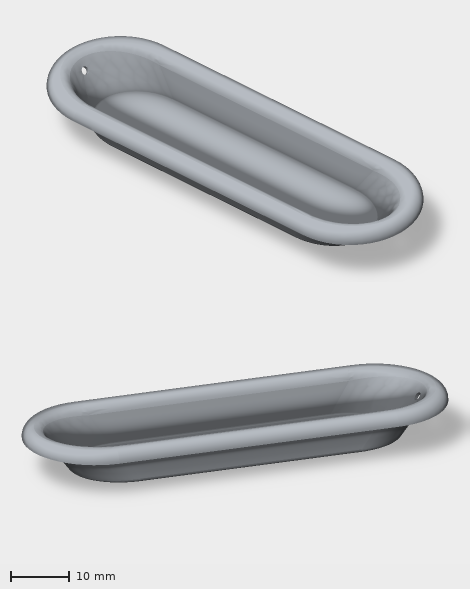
import cadquery as cq
import math

LENGTH = 76.0
WIDTH = 25.3
HEIGHT = 8.0

RIM_THICKNESS = 2.2
RIM_OUTER_RADIUS = 1.95
RIM_INNER_RADIUS = 1.95

TOP_HALF_LENGTH = 35.8
TOP_HALF_WIDTH = 9.3
TOP_STRAIGHT_HALF = 24.8
BOTTOM_HALF_LENGTH = 29.75
BOTTOM_HALF_WIDTH = 8.5
BOTTOM_STRAIGHT_HALF = 19.6

WALL = 0.6
FLOOR_OUTER_RADIUS = 0.8
FLOOR_INNER_RADIUS = 0.3

HOLE_DIAMETER = 1.5
HOLE_DEPTH = 2.9
HOLE_REACH = 2 * WALL

SELECT_MARGIN = 0.01

END_SLOPE = (TOP_HALF_LENGTH - BOTTOM_HALF_LENGTH) / HEIGHT
SIDE_SLOPE = (TOP_HALF_WIDTH - BOTTOM_HALF_WIDTH) / HEIGHT
STRAIGHT_SLOPE = (TOP_STRAIGHT_HALF - BOTTOM_STRAIGHT_HALF) / HEIGHT

END_WALL_RUN = WALL * math.hypot(1, END_SLOPE)
SIDE_WALL_RUN = WALL * math.hypot(1, SIDE_SLOPE)


def tray_outline(depth, end_inset, side_inset):
    """Wire with straight sides and half-ellipse ends, at a depth below the rim top."""
    straight = TOP_STRAIGHT_HALF - STRAIGHT_SLOPE * depth
    half_width = TOP_HALF_WIDTH - SIDE_SLOPE * depth - side_inset
    end_reach = TOP_HALF_LENGTH - END_SLOPE * depth - end_inset - straight
    outline = (
        cq.Workplane("XY", origin=(0, 0, -depth))
        .moveTo(-straight, -half_width)
        .lineTo(straight, -half_width)
        .ellipseArc(end_reach, half_width, -90, 90, startAtCurrent=True)
        .lineTo(-straight, half_width)
        .ellipseArc(end_reach, half_width, 90, 270, startAtCurrent=True)
        .wire()
    )
    return outline.val()


def tray_solid(depth, end_inset=0, side_inset=0):
    """Tapered solid from the rim top down to the given depth."""
    top_outline = tray_outline(0, end_inset, side_inset)
    bottom_outline = tray_outline(depth, end_inset, side_inset)
    return cq.Workplane(cq.Solid.makeLoft([top_outline, bottom_outline], True))


def rim():
    """Flat obround flange with a rounded upper edge."""
    plate = cq.Workplane("XY").slot2D(LENGTH, WIDTH).extrude(-RIM_THICKNESS)
    return plate.faces(">Z").edges().fillet(RIM_OUTER_RADIUS)


def recessed_tray():
    """Rim and thin-walled tray, with the recess mouth rounded into the rim top."""
    outside = tray_solid(HEIGHT).faces("<Z").edges().fillet(FLOOR_OUTER_RADIUS)
    inside = tray_solid(HEIGHT - WALL, END_WALL_RUN, SIDE_WALL_RUN)
    inside = inside.faces("<Z").edges().fillet(FLOOR_INNER_RADIUS)
    shell = rim().union(outside).cut(inside)
    mouth = cq.selectors.BoxSelector(
        (-TOP_HALF_LENGTH, -TOP_HALF_WIDTH, -SELECT_MARGIN),
        (TOP_HALF_LENGTH, TOP_HALF_WIDTH, SELECT_MARGIN),
        boundingbox=True,
    )
    return shell.edges(mouth).fillet(RIM_INNER_RADIUS)


def screw_hole(side):
    """Cutter square to the end wall at the +X (side = 1) or -X (side = -1) end."""
    wall_x = side * (TOP_HALF_LENGTH - END_SLOPE * HOLE_DEPTH)
    outward = cq.Vector(side, 0, -END_SLOPE).normalized()
    start = cq.Vector(wall_x, 0, -HOLE_DEPTH) - outward * HOLE_REACH
    return cq.Workplane(cq.Solid.makeCylinder(HOLE_DIAMETER / 2, 2 * HOLE_REACH, start, outward))


result = recessed_tray()
for end_side in (-1, 1):
    result = result.cut(screw_hole(end_side))